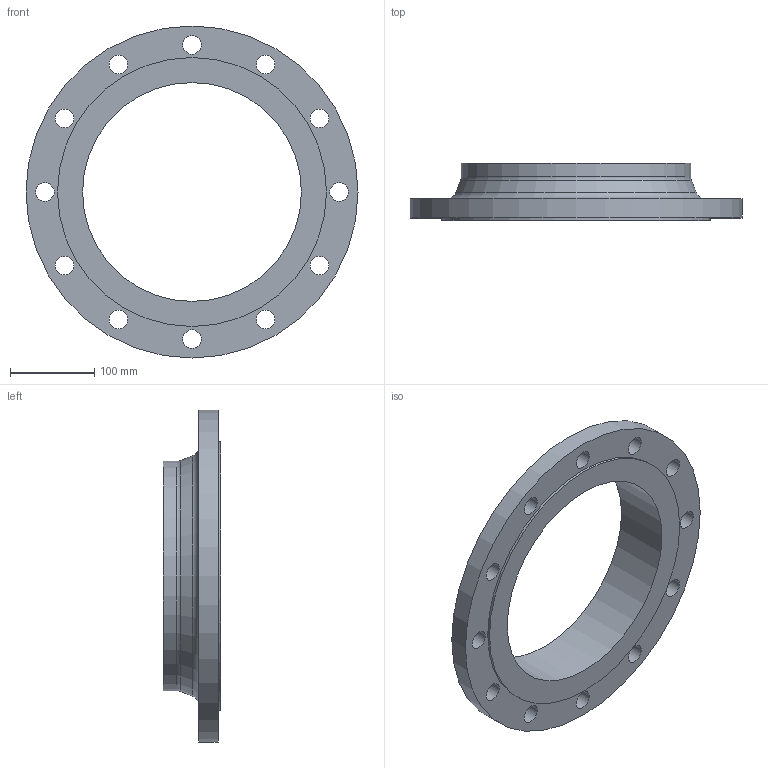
import math

import cadquery as cq

flange_diameter = 395.0
overall_length = 68.0
bore_diameter = 260.4

face_diameter = 320.0
face_height = 3.0

plate_back = 26.0

neck_diameter = 273.0
neck_length = 16.0
hub_taper_angle = 22.0
neck_blend_radius = 12.0
hub_fillet_radius = 12.0

bolt_count = 12
bolt_circle_diameter = 350.0
bolt_hole_diameter = 22.0

bore_radius = bore_diameter / 2
face_radius = face_diameter / 2
flange_radius = flange_diameter / 2
neck_radius = neck_diameter / 2
neck_start = overall_length - neck_length
taper = math.radians(hub_taper_angle)

cone_top = neck_start - neck_blend_radius * math.tan(taper / 2)
hub_radius = neck_radius + (cone_top - plate_back) * math.tan(taper)

fillet_tangent_length = hub_fillet_radius * math.tan((math.pi / 2 - taper) / 2)
hub_fillet_centre = (hub_radius + fillet_tangent_length, plate_back + hub_fillet_radius)
neck_blend_centre = (neck_radius + neck_blend_radius, neck_start)


def blend_point(centre, radius, angle):
    """Point on a concave blend; angle 0 faces the axis, 90 degrees faces the plate."""
    return (centre[0] - radius * math.cos(angle), centre[1] - radius * math.sin(angle))


def hub_fillet_point(angle):
    return blend_point(hub_fillet_centre, hub_fillet_radius, angle)


def neck_blend_point(angle):
    return blend_point(neck_blend_centre, neck_blend_radius, angle)


def make_body():
    """Revolve the half section (radius along X, axial position along Y) about the Y axis."""
    plate_side = math.pi / 2
    section = (
        cq.Workplane("XY")
        .moveTo(bore_radius, 0)
        .lineTo(face_radius, 0)
        .lineTo(face_radius, face_height)
        .lineTo(flange_radius, face_height)
        .lineTo(flange_radius, plate_back)
        .lineTo(*hub_fillet_point(plate_side))
        .threePointArc(hub_fillet_point((plate_side + taper) / 2), hub_fillet_point(taper))
        .lineTo(*neck_blend_point(taper))
        .threePointArc(neck_blend_point(taper / 2), neck_blend_point(0))
        .lineTo(neck_radius, overall_length)
        .lineTo(bore_radius, overall_length)
        .close()
    )
    return section.revolve(360, (0, 0, 0), (0, 1, 0))


def drill_bolt_holes(body):
    """Cut the evenly spaced through holes, the first one on the +X axis."""
    drills = (
        cq.Workplane("XZ")
        .polarArray(bolt_circle_diameter / 2, 0, 360, bolt_count)
        .circle(bolt_hole_diameter / 2)
        .extrude(-overall_length)
    )
    return body.cut(drills)


result = drill_bolt_holes(make_body())